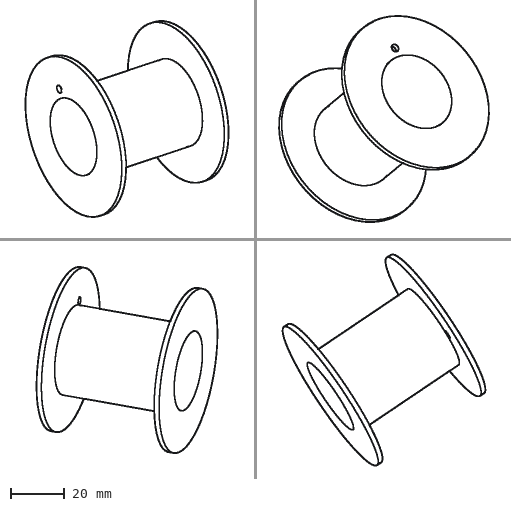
import cadquery as cq
import math

flange_diameter = 62.0
spool_length = 48.6
flange_thickness = 2.0
core_diameter = 34.0
bore_diameter = 30.0

thread_hole_diameter = 3.0
thread_hole_angle = 120.0
thread_hole_offset = (core_diameter + thread_hole_diameter) / 2


def cylinder(diameter, start_y, length, x=0, z=0):
    """Solid cylinder running along +Y from start_y."""
    return cq.Workplane(
        cq.Solid.makeCylinder(diameter / 2, length, cq.Vector(x, start_y, z), cq.Vector(0, 1, 0))
    )


front_y = -spool_length / 2
back_flange_y = spool_length / 2 - flange_thickness

body = cylinder(core_diameter, front_y, spool_length)
for flange_y in (front_y, back_flange_y):
    body = body.union(cylinder(flange_diameter, flange_y, flange_thickness))

bore = cylinder(bore_diameter, front_y, spool_length)

angle = math.radians(thread_hole_angle)
thread_hole = cylinder(
    thread_hole_diameter,
    front_y,
    flange_thickness,
    x=thread_hole_offset * math.cos(angle),
    z=thread_hole_offset * math.sin(angle),
)

result = body.cut(bore).cut(thread_hole)